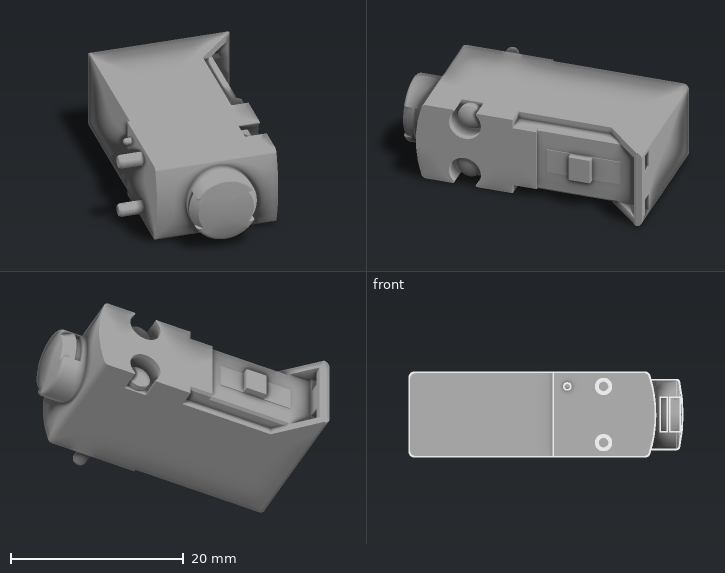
import cadquery as cq
import math

height = 9.8
half_height = height / 2
overall_length = 31.66
block_end_x = 28.5
end_face_radius = 15.0
block_start_x = 16.65
block_depth = 14.65
relief_y = 0.3
nose_edge_fillet = 0.7
end_edge_fillet = 0.6

nose_top_y = 17.2
nose_flat = 0.7
shelf_y = 12.6

lid_depth = 0.9
lid_step_x = 13.83
lid_low_y = 14.2
lid_chamfer_y = 0.4
lid_chamfer_z = 0.2
label_end_x = 12.6
label_thickness = 0.1
label_width = 3.0

button_x0 = 7.03
button_x1 = 9.68
button_top_y = 15.17
button_width = 3.0
button_round = 0.15

window_y0 = 14.62
window_y1 = 16.06
window_height = 2.1
window_z = 2.92
nose_wall = 1.1

screw_x = 22.49
screw_z = 3.25
screw_hole_diameter = 1.8
head_bore_diameter = 3.9
seat_y = 12.03
bore_lip_fillet = 0.15

shank_diameter = 1.6
tip_diameter = 1.3
tip_length = 0.3
screw_tip_y = -2.9
head_diameter = 2.9
head_height = 0.85
head_dome = 0.45

peg_x = 18.3
peg_z = 3.25
peg_diameter = 0.8
peg_length = 1.0

knob_radius = 8.1 / 2
knob_y = 7.5
knob_root_x = 25.0
knob_dome_radius = 18.0
knob_edge_fillet = 0.4
catch_width = 4.0
groove_x0 = 29.07
groove_x1 = 29.86
groove_radius = 3.58
taper_x = 30.17
taper_slope = 0.6


def box(x0, x1, y0, y1, z0, z1):
    return cq.Workplane("XY").box(x1 - x0, y1 - y0, z1 - z0, centered=False).translate((x0, y0, z0))


def slope_x(y):
    """X of the 45 degree nose slope at a given Y."""
    return nose_flat + nose_top_y - y


def make_shell():
    """Plan outline of the housing, trimmed to the rounded side profile."""
    plan = (
        cq.Workplane("XY", origin=(0, 0, -half_height))
        .polyline([
            (0, relief_y),
            (block_start_x, relief_y),
            (block_start_x, 0),
            (block_end_x, 0),
            (block_end_x, block_depth),
            (lid_step_x, block_depth),
            (lid_step_x, lid_low_y),
            (slope_x(lid_low_y), lid_low_y),
            (nose_flat, nose_top_y),
            (0, nose_top_y),
        ])
        .close()
        .extrude(height)
    )
    end_sagitta = end_face_radius - math.sqrt(end_face_radius**2 - half_height**2)
    corner_x = block_end_x - end_sagitta
    side = (
        cq.Workplane("XZ")
        .moveTo(0, -half_height)
        .lineTo(corner_x, -half_height)
        .threePointArc((block_end_x, 0), (corner_x, half_height))
        .lineTo(0, half_height)
        .close()
        .extrude(-nose_top_y)
        .edges("|Y")
        .edges("<X")
        .fillet(nose_edge_fillet)
        .edges("|Y")
        .edges(">X")
        .fillet(end_edge_fillet)
    )
    return plan.intersect(side)


def lid_side_cut(x0, x1, edge_y):
    """Material removed above the lid, including the chamfer along its outer edge."""
    lid_z = half_height - lid_depth
    return (
        cq.Workplane("YZ", origin=(x0, 0, 0))
        .polyline([
            (shelf_y, half_height),
            (shelf_y, lid_z),
            (edge_y - lid_chamfer_y, lid_z),
            (edge_y, lid_z - lid_chamfer_z),
            (nose_top_y, lid_z - lid_chamfer_z),
            (nose_top_y, half_height),
        ])
        .close()
        .extrude(x1 - x0)
    )


def make_lid_recess():
    """Both side recesses of the lid, bounded by the nose slope."""
    beyond_slope = (
        cq.Workplane("XY", origin=(0, 0, -half_height))
        .polyline([
            (slope_x(shelf_y), shelf_y),
            (block_start_x, shelf_y),
            (block_start_x, nose_top_y),
            (slope_x(nose_top_y), nose_top_y),
        ])
        .close()
        .extrude(height)
    )
    upper = lid_side_cut(0, lid_step_x, lid_low_y)
    upper = upper.union(lid_side_cut(lid_step_x, block_start_x, block_depth)).intersect(beyond_slope)
    return upper.union(upper.mirror("XY"))


def make_label():
    return box(slope_x(lid_low_y) - label_thickness, label_end_x, shelf_y, lid_low_y + label_thickness,
               -label_width / 2, label_width / 2)


def make_button():
    button = box(button_x0, button_x1, shelf_y, button_top_y, -button_width / 2, button_width / 2)
    return button.edges(">Y and |Z").fillet(button_round)


def make_window(z):
    return box(0, nose_wall, window_y0, window_y1, z - window_height / 2, z + window_height / 2)


def make_nose_pocket():
    """Flat-backed pocket behind the nose that both windows open into."""
    half_width = window_z + window_height / 2
    return box(nose_wall, slope_x(lid_low_y), lid_low_y, nose_top_y, -half_width, half_width)


def y_cylinder(x, z, diameter, y0, y1):
    return cq.Workplane("XZ", origin=(x, y0, z)).circle(diameter / 2).extrude(y0 - y1)


def make_peg():
    radius = peg_diameter / 2
    straight_end_y = radius - peg_length
    straight = y_cylinder(peg_x, peg_z, peg_diameter, straight_end_y, shelf_y)
    tip = cq.Workplane("XY").sphere(radius).translate((peg_x, straight_end_y, peg_z))
    return straight.union(tip)


def knob_ring(points):
    """Solid of revolution about the knob axis from (x, radius) points."""
    ring = cq.Workplane("XY").polyline(points).close().revolve(360, (0, 0, 0), (1, 0, 0))
    return ring.translate((0, knob_y, 0))


def make_knob():
    rim_sagitta = knob_dome_radius - math.sqrt(knob_dome_radius**2 - knob_radius**2)
    mid_radius = knob_radius / 2
    mid_sagitta = knob_dome_radius - math.sqrt(knob_dome_radius**2 - mid_radius**2)
    knob = (
        cq.Workplane("XY")
        .moveTo(knob_root_x, 0)
        .lineTo(knob_root_x, knob_radius)
        .lineTo(overall_length - rim_sagitta, knob_radius)
        .threePointArc((overall_length - mid_sagitta, mid_radius), (overall_length, 0))
        .close()
        .revolve(360, (0, 0, 0), (1, 0, 0))
        .faces("%CYLINDER")
        .edges(">X")
        .fillet(knob_edge_fillet)
        .translate((0, knob_y, 0))
    )
    groove = knob_ring([
        (groove_x0, groove_radius),
        (groove_x1, groove_radius),
        (groove_x1, half_height),
        (groove_x0, half_height),
    ])
    taper_end_radius = knob_radius - taper_slope * (overall_length - taper_x)
    taper = knob_ring([
        (taper_x, knob_radius),
        (overall_length, taper_end_radius),
        (overall_length, half_height),
        (taper_x, half_height),
    ])
    catch_zone = box(knob_root_x, overall_length, knob_y - height, knob_y + height,
                     -catch_width / 2, catch_width / 2)
    return knob.cut(groove.union(taper).intersect(catch_zone))


def make_housing():
    housing = make_shell().cut(make_lid_recess()).cut(make_nose_pocket())
    for side in (1, -1):
        housing = housing.cut(y_cylinder(screw_x, side * screw_z, head_bore_diameter, seat_y, block_depth))
    reach = head_bore_diameter / 2
    lip_margin = bore_lip_fillet
    for side in (1, -1):
        z = side * half_height
        housing = housing.edges(
            cq.selectors.BoxSelector((screw_x - reach, seat_y, z - lip_margin),
                                     (screw_x + reach, block_depth, z + lip_margin))
        ).edges("|Y").fillet(bore_lip_fillet)
    for side in (1, -1):
        housing = housing.cut(y_cylinder(screw_x, side * screw_z, screw_hole_diameter, 0, seat_y))
        housing = housing.cut(make_window(side * window_z))
    return housing.union(make_label()).union(make_button()).union(make_peg()).union(make_knob())


def make_screw(z):
    """Domed-head screw whose head rests on the seat in the housing."""
    head_radius = head_diameter / 2
    shank_radius = shank_diameter / 2
    rim_y = seat_y + head_height
    dome_radius = (head_radius**2 + head_dome**2) / (2 * head_dome)
    mid_radius = head_radius / 2
    mid_y = rim_y + head_dome - dome_radius + math.sqrt(dome_radius**2 - mid_radius**2)
    return (
        cq.Workplane("XY")
        .moveTo(0, screw_tip_y)
        .lineTo(tip_diameter / 2, screw_tip_y)
        .lineTo(shank_radius, screw_tip_y + tip_length)
        .lineTo(shank_radius, seat_y)
        .lineTo(head_radius, seat_y)
        .lineTo(head_radius, rim_y)
        .threePointArc((mid_radius, mid_y), (0, rim_y + head_dome))
        .close()
        .revolve(360, (0, 0, 0), (0, 1, 0))
        .translate((screw_x, 0, z))
    )


housing = make_housing()
screws = [make_screw(side * screw_z) for side in (1, -1)]

result = cq.Compound.makeCompound([housing.val(), *[screw.val() for screw in screws]])